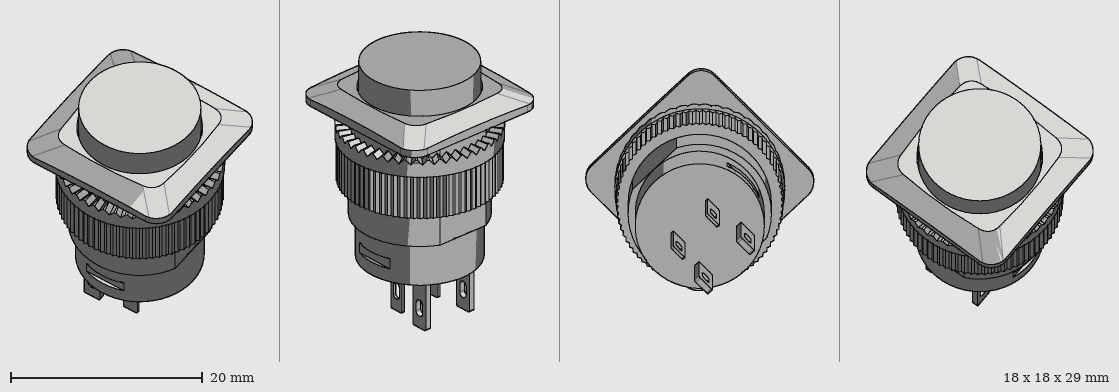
import cadquery as cq
import math

TERMINAL_LENGTH = 6.0
BASE_TOP = 11.02
NUT_BOTTOM = 15.0
NUT_FLANGE_BOTTOM = 20.0
NUT_TOP = 22.0
BEZEL_BOTTOM = 24.0
BEZEL_TOP = 26.0
BUTTON_TOP = 29.0

BEZEL_SIDE = 18.0
BEZEL_CORNER_RADIUS = 2.0
BEZEL_FACE_HALF = 6.8
BEZEL_FACE_CORNER = 6.4
BEZEL_TAPER = 66.0
BEZEL_RIDGE_RADIUS = 4.35

BUTTON_DIAMETER = 12.75
RECESS_DIAMETER = 13.1

BARREL_DIAMETER = 14.95
BARREL_ACROSS_FLATS = 13.5
BASE_DIAMETER = 13.48
NOTCH_WIDTH = 4.95
NOTCH_BOTTOM = 7.55
NOTCH_HEIGHT = 1.2
NOTCH_DEPTH = 0.44

FLANGE_DIAMETER = 17.75
CROWN_GROOVE_COUNT = 45
CROWN_GROOVE_DEPTH = 0.55
CROWN_GROOVE_HALF_WIDTH = 0.5
KNURL_COUNT = 78
KNURL_CREST_RADIUS = 8.73
KNURL_VALLEY_RADIUS = 8.53

WIDE_TERMINAL = {"center_x": -3.7, "width": 2.03, "slot_width": 1.0, "inner_y": 2.73, "thickness": 0.67}
NARROW_TERMINAL = {"center_x": 0.67, "width": 1.77, "slot_width": 0.9, "inner_y": 2.35, "thickness": 0.32}
TERMINAL_CORNER_RADIUS = 0.2
SLOT_LENGTH = 1.95
SLOT_CENTER_Z = 2.35


def disc(diameter, bottom, top):
    """Upright cylinder on the Z axis between two heights."""
    return cq.Workplane("XY").workplane(offset=bottom).circle(diameter / 2).extrude(top - bottom)


def make_bezel():
    """Rounded square plate whose top slopes away from a face with four bowed sides."""
    height = BEZEL_TOP - BEZEL_BOTTOM
    bow = BEZEL_FACE_HALF - BEZEL_FACE_CORNER
    bow_radius = (BEZEL_FACE_CORNER ** 2 + bow ** 2) / (2 * bow)
    spread = height * math.tan(math.radians(BEZEL_TAPER))
    cone = cq.Workplane(
        cq.Solid.makeCone(
            bow_radius + spread, bow_radius, height,
            pnt=cq.Vector(BEZEL_FACE_HALF - bow_radius, 0, BEZEL_BOTTOM),
        )
    )
    slopes = cone
    for angle in (90, 180, 270):
        slopes = slopes.intersect(cone.rotate((0, 0, 0), (0, 0, 1), angle))
    slopes = slopes.edges("not(<Z or >Z)").fillet(BEZEL_RIDGE_RADIUS)
    plate = (
        cq.Workplane("XY").workplane(offset=BEZEL_BOTTOM)
        .rect(BEZEL_SIDE, BEZEL_SIDE)
        .extrude(height)
        .edges("|Z").fillet(BEZEL_CORNER_RADIUS)
    )
    return plate.intersect(slopes)


def make_barrel():
    """Cylinder with a flat on its -X and +X sides."""
    flats = (
        cq.Workplane("XY").workplane(offset=BASE_TOP)
        .rect(BARREL_ACROSS_FLATS, BARREL_DIAMETER)
        .extrude(BEZEL_BOTTOM - BASE_TOP)
    )
    return disc(BARREL_DIAMETER, BASE_TOP, BEZEL_BOTTOM).intersect(flats)


def make_base():
    """Lower cylinder with a shallow flat-bottomed notch on its -Y and +Y sides."""
    base = disc(BASE_DIAMETER, TERMINAL_LENGTH, BASE_TOP)
    for side in (-1, 1):
        notch = cq.Workplane("XY").box(NOTCH_WIDTH, 2 * NOTCH_DEPTH, NOTCH_HEIGHT).translate(
            (0, side * BASE_DIAMETER / 2, NOTCH_BOTTOM + NOTCH_HEIGHT / 2)
        )
        base = base.cut(notch)
    return base


def make_flange():
    """Upper part of the nut, its top cut into a crown by radial V-grooves."""
    flange = disc(FLANGE_DIAMETER, NUT_FLANGE_BOTTOM, NUT_TOP)
    groove = (
        cq.Workplane("YZ")
        .moveTo(0, NUT_TOP - CROWN_GROOVE_DEPTH)
        .lineTo(CROWN_GROOVE_HALF_WIDTH, NUT_TOP)
        .lineTo(-CROWN_GROOVE_HALF_WIDTH, NUT_TOP)
        .close()
        .extrude(FLANGE_DIAMETER)
    )
    grooves = [
        groove.rotate((0, 0, 0), (0, 0, 1), 180 + i * 360 / CROWN_GROOVE_COUNT).val()
        for i in range(CROWN_GROOVE_COUNT)
    ]
    return cq.Workplane(flange.val().cut(*grooves))


def make_knurl():
    """Lower part of the nut, with straight pointed teeth around it."""
    points = []
    for i in range(2 * KNURL_COUNT):
        radius = KNURL_VALLEY_RADIUS if i % 2 else KNURL_CREST_RADIUS
        angle = math.pi * i / KNURL_COUNT
        points.append((radius * math.cos(angle), radius * math.sin(angle)))
    return (
        cq.Workplane("XY").workplane(offset=NUT_BOTTOM)
        .polyline(points).close()
        .extrude(NUT_FLANGE_BOTTOM - NUT_BOTTOM)
    )


def make_nut():
    """Flange and knurl in one ring, whose round bore leaves a gap beside each flat of the barrel."""
    return make_flange().union(make_knurl()).cut(disc(BARREL_DIAMETER, NUT_BOTTOM, NUT_TOP))


def make_terminal(center_x, width, slot_width, inner_y, thickness):
    """Flat blade at +Y with rounded lower corners and a slot through it."""
    blade = (
        cq.Workplane("XY")
        .box(width, thickness, TERMINAL_LENGTH, centered=(True, False, False))
        .edges("|Y and <Z").fillet(TERMINAL_CORNER_RADIUS)
    )
    slot = (
        cq.Workplane("XZ").center(0, SLOT_CENTER_Z)
        .slot2D(SLOT_LENGTH, slot_width, 90)
        .extrude(-thickness)
    )
    return blade.cut(slot).translate((center_x, inner_y, 0))


def make_housing():
    """Bezel, barrel, nut, base and terminals in one piece, with a round recess for the button."""
    housing = make_bezel().union(make_barrel()).union(make_base())
    housing = housing.union(make_nut())
    for terminal_sizes in (WIDE_TERMINAL, NARROW_TERMINAL):
        terminal = make_terminal(**terminal_sizes)
        housing = housing.union(terminal).union(terminal.mirror("XZ"))
    return housing.cut(disc(RECESS_DIAMETER, BEZEL_BOTTOM, BEZEL_TOP))


def make_button():
    """Round push button standing on the floor of the recess."""
    return disc(BUTTON_DIAMETER, BEZEL_BOTTOM, BUTTON_TOP)


housing = make_housing()
button = make_button()

result = cq.Compound.makeCompound([housing.val(), button.val()])